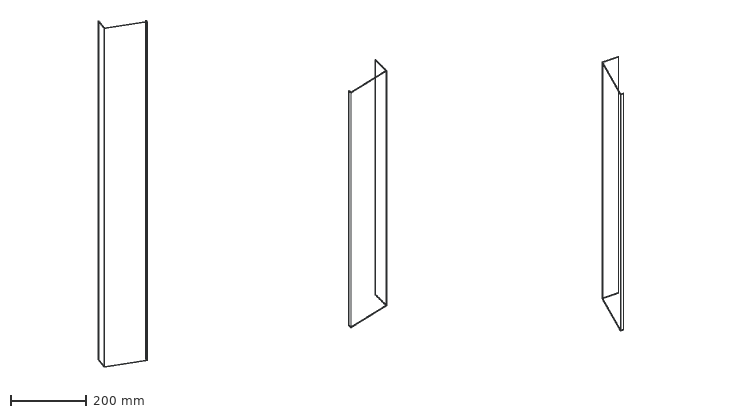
import cadquery as cq

length = 1000.0
width = 48.0
depth = 122.0
sheet = 2.0
short_flange = 9.5

right = width / 2
left = -width / 2
back = depth / 2
front = -depth / 2

section = [
    (left, front),
    (right, front),
    (right, back),
    (right - short_flange, back),
    (right - short_flange, back - sheet),
    (right - sheet, back - sheet),
    (right - sheet, front + sheet),
    (left, front + sheet),
]

result = cq.Workplane("XY").polyline(section).close().extrude(length)